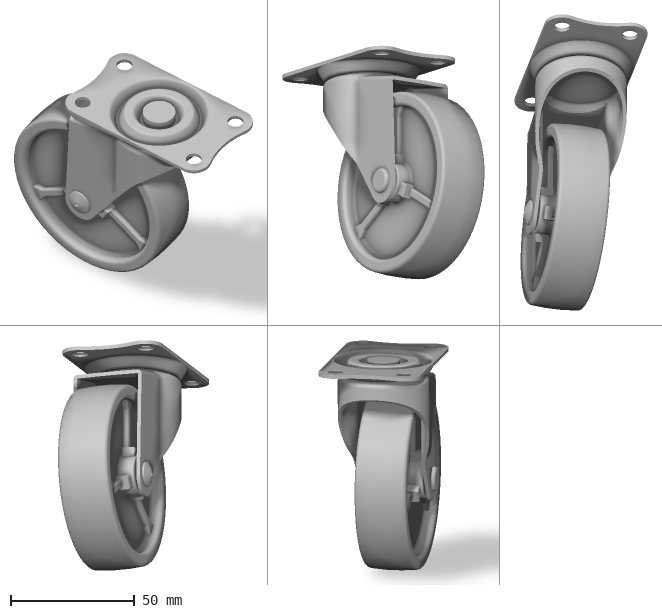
import cadquery as cq
import math


SHEET = 1.5

PLATE_LENGTH = 70.0
PLATE_WIDTH = 42.0
CORNER_RADIUS = 7.0
END_NOTCH_DEPTH = 2.5
HOLE_DIAMETER = 6.4

WALL_ANGLE = math.radians(60)
DISH_DEPTH = 4.3
MOUTH_RADIUS = 19.9
RING_OUTER_RADIUS = 14.1
RING_INNER_RADIUS = 10.2

KINGPIN_RADIUS = 6.6

BOSS_RADIUS = 14.6
CROWN_TOP = -6.2
CROWN_RADIUS = 18.5
CROWN_ROUND = 2.5
CROWN_FRONT_SLOPE = math.radians(50)
CROWN_FRONT_FOOT_Z = -9.7
ARM_OUTER_Y = 14.5
NECK_RADIUS = 5.1
WEB_ROUND = 1.7
WEB_TIP_X = -35.8
WEB_TIP_TOP = -12.1
WEB_SLOPE = math.radians(10.1)
WEB_TIP_BULGE = 1.4
ARM_FOOT_RADIUS = 7.3
ARM_FOOT_DROP = 1.7
ARM_TOP_FRONT_Z = -13.7
REAR_EDGE_ANGLE = math.radians(55.2)
REAR_EDGE_LENGTH = 34.5
CROWN_SKIRT_Z = -13.2

WHEEL_X = -29.0
WHEEL_Z = -54.5
WHEEL_RADIUS = 37.5
TREAD_EDGE_RADIUS = 36.9
WHEEL_HALF_WIDTH = 10.6
TREAD_ROUND = 1.4
RIM_INNER_RADIUS = 31.4
RIM_ROUND = 1.6
DISC_ROUND = 1.4
DISC_HALF_WIDTH = 5.5
HUB_RADIUS = 7.9
HUB_END_Y = 12.0
HUB_BASE_ROUND = 1.2
HUB_END_ROUND = 0.5

SPOKE_ANGLES = (90, 210, 330)
SPOKE_WIDTH = 3.5
SPOKE_HEIGHT = 2.1
SPOKE_ROUND = 0.8
FLARE_START = 27.2
FLARE_WIDTH = 8.7
LUG_WIDTH = 5.5
LUG_REACH = 11.3
LUG_ROUND = 0.6
RIB_ROOT = 4.1

AXLE_RADIUS = 3.0
HEAD_RADIUS = 5.1
DOME_RIM = 0.9
DOME_HEAD_HEIGHT = 2.4
DIMPLE_RADIUS = 1.0
DIMPLE_DEPTH = 0.8
FLAT_HEAD_HEIGHT = 1.7
FLAT_HEAD_ROUND = 1.3

TOLERANCE = 0.01
DEPTH = 101.5


def at_wheel(body):
    return body.translate((WHEEL_X, 0, WHEEL_Z))


def axle_bore():
    return cq.Workplane("XZ").circle(AXLE_RADIUS).extrude(PLATE_WIDTH, both=True)


def plate_blank():
    hole_x = PLATE_LENGTH / 2 - CORNER_RADIUS
    hole_y = PLATE_WIDTH / 2 - CORNER_RADIUS
    gap = CORNER_RADIUS - END_NOTCH_DEPTH
    notch_radius = (gap**2 + hole_y**2 - CORNER_RADIUS**2) / (2 * END_NOTCH_DEPTH)
    notch_centre = PLATE_LENGTH / 2 - END_NOTCH_DEPTH + notch_radius
    share = CORNER_RADIUS / (CORNER_RADIUS + notch_radius)
    tangent_x = hole_x + share * (notch_centre - hole_x)
    tangent_y = hole_y * (1 - share)
    notch_x = PLATE_LENGTH / 2 - END_NOTCH_DEPTH
    tip = (PLATE_LENGTH / 2, hole_y)
    edge_y = PLATE_WIDTH / 2
    blank = (
        cq.Workplane("XY")
        .moveTo(-hole_x, edge_y)
        .lineTo(hole_x, edge_y)
        .threePointArc(tip, (tangent_x, tangent_y))
        .threePointArc((notch_x, 0), (tangent_x, -tangent_y))
        .threePointArc((tip[0], -tip[1]), (hole_x, -edge_y))
        .lineTo(-hole_x, -edge_y)
        .threePointArc((-tip[0], -tip[1]), (-tangent_x, -tangent_y))
        .threePointArc((-notch_x, 0), (-tangent_x, tangent_y))
        .threePointArc((-tip[0], tip[1]), (-hole_x, edge_y))
        .close()
        .extrude(-SHEET)
    )
    return (
        blank.faces(">Z").workplane(origin=(0, 0, 0))
        .rect(2 * hole_x, 2 * hole_y, forConstruction=True)
        .vertices().hole(HOLE_DIAMETER)
    )


def make_plate():
    run = DISH_DEPTH / math.tan(WALL_ANGLE)
    shift = SHEET * math.tan(WALL_ANGLE / 2)
    under = -SHEET
    floor = -DISH_DEPTH
    floor_under = floor - SHEET
    floor_outer = MOUTH_RADIUS - run
    floor_inner = RING_OUTER_RADIUS + run
    floor_centre = RING_INNER_RADIUS - run
    rim = MOUTH_RADIUS + shift
    dish = (
        cq.Workplane("XZ")
        .polyline([
            (rim, 0), (MOUTH_RADIUS, 0),
            (floor_outer, floor), (floor_inner, floor),
            (RING_OUTER_RADIUS, 0), (RING_INNER_RADIUS, 0),
            (floor_centre, floor), (KINGPIN_RADIUS, floor),
            (KINGPIN_RADIUS, floor_under), (floor_centre + shift, floor_under),
            (RING_INNER_RADIUS + shift, under), (RING_OUTER_RADIUS - shift, under),
            (floor_inner - shift, floor_under), (floor_outer + shift, floor_under),
            (rim, under),
        ])
        .close()
        .revolve(360, (0, 0), (0, 1))
    )
    opening = cq.Workplane("XY").circle(rim).extrude(-SHEET)
    plate = plate_blank().cut(opening).union(dish)
    upper_bends = [MOUTH_RADIUS, RING_OUTER_RADIUS, RING_INNER_RADIUS]
    lower_bends = [floor_outer + shift, floor_inner - shift, floor_centre + shift]

    def is_rounded_bend(edge):
        if abs(edge.Center().z) < TOLERANCE:
            bends = upper_bends
        elif abs(edge.Center().z - floor_under) < TOLERANCE:
            bends = lower_bends
        else:
            return False
        return any(abs(edge.radius() - bend) < TOLERANCE for bend in bends)

    return plate.edges("%CIRCLE").filter(is_rounded_bend).fillet(SHEET)


def make_kingpin():
    crown_under = CROWN_TOP - SHEET
    return cq.Workplane("XY").workplane(offset=crown_under).circle(KINGPIN_RADIUS).extrude(-crown_under)


def crown_front(inset):
    """Cone that continues the top round of the crown down to the web, between the arms."""
    round_radius = CROWN_ROUND - inset
    top_radius = CROWN_RADIUS - CROWN_ROUND + round_radius * math.sin(CROWN_FRONT_SLOPE)
    top_z = CROWN_TOP - CROWN_ROUND + round_radius * math.cos(CROWN_FRONT_SLOPE)
    foot_z = CROWN_FRONT_FOOT_Z - inset
    foot_radius = top_radius + (top_z - foot_z) / math.tan(CROWN_FRONT_SLOPE)
    cone = (
        cq.Workplane("XZ")
        .polyline([(0, top_z), (top_radius, top_z), (foot_radius, foot_z), (0, foot_z)])
        .close()
        .revolve(360, (0, 0), (0, 1))
    )
    flat_width = 2 * (ARM_OUTER_Y - WEB_ROUND)
    between_arms = (
        cq.Workplane("XY").workplane(offset=foot_z)
        .center(-CROWN_RADIUS, 0).rect(2 * CROWN_RADIUS, flat_width).extrude(-foot_z)
    )
    return cone.intersect(between_arms)


def fork_form(inset):
    """Crown and channel of the fork, drawn in from the outer faces by `inset`."""
    crown_radius = CROWN_RADIUS - inset
    half_width = ARM_OUTER_Y - inset
    neck_radius = NECK_RADIUS + inset
    crown = (
        cq.Workplane("XY").workplane(offset=-DEPTH)
        .circle(crown_radius).extrude(DEPTH + CROWN_TOP - inset)
        .faces(">Z").edges().fillet(CROWN_ROUND - inset)
    )
    centre_y = half_width + neck_radius
    reach = crown_radius + neck_radius
    centre_x = -math.sqrt(reach**2 - centre_y**2)
    end_x = centre_x * crown_radius / reach
    end_y = centre_y * crown_radius / reach
    front_x = 2 * WEB_TIP_X
    channel = (
        cq.Workplane("XY").workplane(offset=-DEPTH)
        .moveTo(front_x, half_width)
        .lineTo(centre_x, half_width)
        .radiusArc((end_x, end_y), -neck_radius)
        .lineTo(end_x, -end_y)
        .radiusArc((centre_x, -half_width), -neck_radius)
        .lineTo(front_x, -half_width)
        .close()
        .extrude(DEPTH)
    )
    top_at_tip = WEB_TIP_TOP - inset / math.cos(WEB_SLOPE)
    rise = math.tan(WEB_SLOPE)
    above_web = (
        cq.Workplane("XZ")
        .polyline([
            (front_x, top_at_tip + rise * (front_x - WEB_TIP_X)),
            (0, top_at_tip - rise * WEB_TIP_X),
            (0, DEPTH), (front_x, DEPTH),
        ])
        .close()
        .extrude(PLATE_WIDTH, both=True)
    )
    channel = channel.cut(above_web).faces(">Z").edges("not |Y").fillet(WEB_ROUND - inset)
    return crown.union(channel).union(crown_front(inset))


def fork_side_trim():
    """Side outline that the fork keeps, through its whole width."""
    foot_z = WHEEL_Z - ARM_FOOT_DROP
    sin_rear = math.sin(REAR_EDGE_ANGLE)
    cos_rear = math.cos(REAR_EDGE_ANGLE)
    rear_foot = (WHEEL_X + ARM_FOOT_RADIUS * sin_rear, foot_z - ARM_FOOT_RADIUS * cos_rear)
    rear_bend = (rear_foot[0] + REAR_EDGE_LENGTH * cos_rear, rear_foot[1] + REAR_EDGE_LENGTH * sin_rear)
    arm_top_x = WEB_TIP_X + WEB_TIP_BULGE
    return (
        cq.Workplane("XZ")
        .moveTo(arm_top_x, 0)
        .lineTo(arm_top_x, ARM_TOP_FRONT_Z)
        .lineTo(WHEEL_X - ARM_FOOT_RADIUS, foot_z)
        .threePointArc((WHEEL_X, foot_z - ARM_FOOT_RADIUS), rear_foot)
        .lineTo(*rear_bend)
        .tangentArcPoint((CROWN_RADIUS, CROWN_SKIRT_Z), relative=False)
        .lineTo(CROWN_RADIUS, 0)
        .close()
        .extrude(PLATE_WIDTH, both=True)
    )


def web_nose_trim():
    """Bulged front end of the web, ahead of the arms."""
    arm_top_x = WEB_TIP_X + WEB_TIP_BULGE
    return (
        cq.Workplane("XY").workplane(offset=ARM_TOP_FRONT_Z)
        .moveTo(arm_top_x, ARM_OUTER_Y)
        .threePointArc((WEB_TIP_X, 0), (arm_top_x, -ARM_OUTER_Y))
        .close()
        .extrude(-ARM_TOP_FRONT_Z)
    )


def make_fork():
    shell = fork_form(0).cut(fork_form(SHEET))
    fork = shell.intersect(fork_side_trim().union(web_nose_trim()))
    boss_height = -DISH_DEPTH - SHEET - CROWN_TOP
    boss = cq.Workplane("XY").workplane(offset=CROWN_TOP).circle(BOSS_RADIUS).extrude(boss_height)
    kingpin_hole = cq.Workplane("XY").circle(KINGPIN_RADIUS).extrude(CROWN_TOP - 2 * SHEET)
    return fork.union(boss).cut(kingpin_hole).cut(at_wheel(axle_bore()))


def wheel_drum():
    tread_edge_y = WHEEL_HALF_WIDTH - TREAD_ROUND
    face_radius = TREAD_EDGE_RADIUS - TREAD_ROUND
    return (
        cq.Workplane("XY")
        .moveTo(0, -WHEEL_HALF_WIDTH)
        .lineTo(face_radius, -WHEEL_HALF_WIDTH)
        .radiusArc((TREAD_EDGE_RADIUS, -tread_edge_y), -TREAD_ROUND)
        .threePointArc((WHEEL_RADIUS, 0), (TREAD_EDGE_RADIUS, tread_edge_y))
        .radiusArc((face_radius, WHEEL_HALF_WIDTH), -TREAD_ROUND)
        .lineTo(0, WHEEL_HALF_WIDTH)
        .close()
        .revolve(360, (0, 0), (0, 1))
    )


def rim_recess():
    """Hollow between the rim and the wheel axis on the +Y side, down to the disc."""
    return (
        cq.Workplane("XY")
        .moveTo(0, DISC_HALF_WIDTH)
        .lineTo(RIM_INNER_RADIUS - DISC_ROUND, DISC_HALF_WIDTH)
        .radiusArc((RIM_INNER_RADIUS, DISC_HALF_WIDTH + DISC_ROUND), -DISC_ROUND)
        .lineTo(RIM_INNER_RADIUS, WHEEL_HALF_WIDTH - RIM_ROUND)
        .radiusArc((RIM_INNER_RADIUS + RIM_ROUND, WHEEL_HALF_WIDTH), RIM_ROUND)
        .lineTo(0, WHEEL_HALF_WIDTH)
        .close()
        .revolve(360, (0, 0), (0, 1))
    )


def hub_end():
    """Part of the hub that stands on the +Y face of the disc."""
    return (
        cq.Workplane("XY")
        .moveTo(0, DISC_HALF_WIDTH)
        .lineTo(HUB_RADIUS + HUB_BASE_ROUND, DISC_HALF_WIDTH)
        .radiusArc((HUB_RADIUS, DISC_HALF_WIDTH + HUB_BASE_ROUND), HUB_BASE_ROUND)
        .lineTo(HUB_RADIUS, HUB_END_Y - HUB_END_ROUND)
        .radiusArc((HUB_RADIUS - HUB_END_ROUND, HUB_END_Y), -HUB_END_ROUND)
        .lineTo(0, HUB_END_Y)
        .close()
        .revolve(360, (0, 0), (0, 1))
    )


def spoke_with_lug(angle):
    """Flared spoke and its block at the hub, on the +Y face of the disc."""
    face = cq.Workplane("XZ", origin=(0, DISC_HALF_WIDTH, 0))
    spoke_side = SPOKE_WIDTH / 2
    flare_side = FLARE_WIDTH / 2
    flare_end = RIM_INNER_RADIUS + RIM_ROUND
    spoke = (
        face
        .polyline([
            (RIB_ROOT, -spoke_side), (FLARE_START, -spoke_side), (flare_end, -flare_side),
            (flare_end, flare_side), (FLARE_START, spoke_side), (RIB_ROOT, spoke_side),
        ])
        .close()
        .extrude(-SPOKE_HEIGHT)
        .faces(">Y").edges().fillet(SPOKE_ROUND)
    )
    lug = (
        face
        .center((LUG_REACH + RIB_ROOT) / 2, 0)
        .rect(LUG_REACH - RIB_ROOT, LUG_WIDTH)
        .extrude(DISC_HALF_WIDTH - WHEEL_HALF_WIDTH)
        .faces(">Y").edges().fillet(LUG_ROUND)
    )
    return spoke.union(lug).rotate((0, 0, 0), (0, 1, 0), -angle)


def make_wheel():
    recess = rim_recess()
    relief = hub_end()
    for angle in SPOKE_ANGLES:
        relief = relief.union(spoke_with_lug(angle))
    wheel = wheel_drum().cut(recess).cut(recess.mirror("XZ"))
    wheel = wheel.union(relief).union(relief.mirror("XZ"))
    return at_wheel(wheel.cut(axle_bore()))


def make_axle():
    """Rivet with a rounded flat head on the +Y side and a dimpled domed head on the -Y side."""
    flat_end = ARM_OUTER_Y + FLAT_HEAD_HEIGHT
    dome_end = -ARM_OUTER_Y - DOME_HEAD_HEIGHT
    dome_middle = (HEAD_RADIUS + DIMPLE_RADIUS) / 2
    dome_middle_y = dome_end + (DOME_HEAD_HEIGHT - DOME_RIM) * (dome_middle / HEAD_RADIUS) ** 2
    axle = (
        cq.Workplane("XY")
        .moveTo(0, flat_end)
        .lineTo(HEAD_RADIUS - FLAT_HEAD_ROUND, flat_end)
        .radiusArc((HEAD_RADIUS, flat_end - FLAT_HEAD_ROUND), FLAT_HEAD_ROUND)
        .lineTo(HEAD_RADIUS, ARM_OUTER_Y)
        .lineTo(AXLE_RADIUS, ARM_OUTER_Y)
        .lineTo(AXLE_RADIUS, -ARM_OUTER_Y)
        .lineTo(HEAD_RADIUS, -ARM_OUTER_Y)
        .lineTo(HEAD_RADIUS, -ARM_OUTER_Y - DOME_RIM)
        .threePointArc((dome_middle, dome_middle_y), (DIMPLE_RADIUS, dome_end))
        .lineTo(0, dome_end + DIMPLE_DEPTH)
        .close()
        .revolve(360, (0, 0), (0, 1))
    )
    return at_wheel(axle)


plate = make_plate()
kingpin = make_kingpin()
fork = make_fork()
wheel = make_wheel()
axle = make_axle()

bodies = [body.solids().val() for body in (plate, kingpin, fork, wheel, axle)]
result = cq.Compound.makeCompound(bodies)